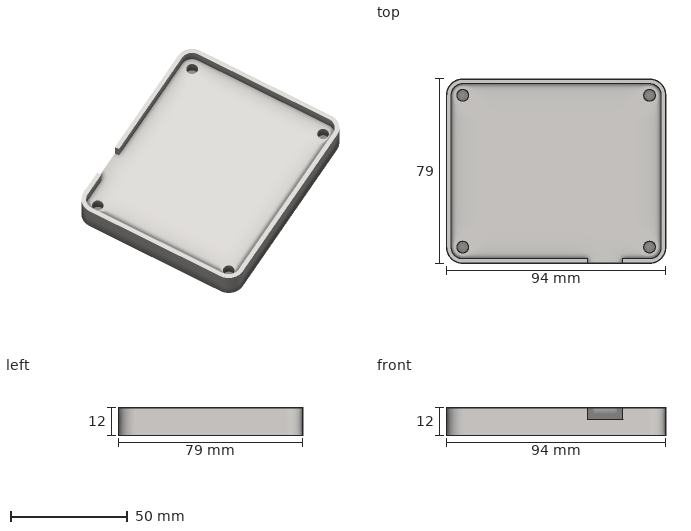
import cadquery as cq

LENGTH = 94.0
WIDTH = 79.0
HEIGHT = 12.0
CORNER_RADIUS = 7.0

WALL = 2.0
RECESS_DEPTH = 5.0
FLOOR_HEIGHT = HEIGHT - RECESS_DEPTH

HOLE_DIAMETER = 5.0
HOLE_DEPTH = 5.0
HOLE_SPACING_X = LENGTH - 2 * CORNER_RADIUS
HOLE_SPACING_Y = WIDTH - 2 * CORNER_RADIUS

NOTCH_WIDTH = 15.0
NOTCH_CENTER_X = 21.0


def rounded_block(length, width, height, radius, base_z):
    """Block with rounded vertical edges, standing on base_z."""
    block = cq.Workplane("XY").workplane(offset=base_z).rect(length, width).extrude(height)
    return block.edges("|Z").fillet(radius)


def make_recess():
    """Volume inside the rim, leaving an even wall all round."""
    return rounded_block(
        LENGTH - 2 * WALL,
        WIDTH - 2 * WALL,
        RECESS_DEPTH,
        CORNER_RADIUS - WALL,
        FLOOR_HEIGHT,
    )


def make_corner_holes():
    """Four holes sunk from the floor, one in each corner."""
    return (
        cq.Workplane("XY")
        .workplane(offset=FLOOR_HEIGHT)
        .rect(HOLE_SPACING_X, HOLE_SPACING_Y, forConstruction=True)
        .vertices()
        .circle(HOLE_DIAMETER / 2)
        .extrude(-HOLE_DEPTH)
    )


def make_wall_notch():
    """Block that opens the front wall from the floor to the rim."""
    wall_center_y = -(WIDTH - WALL) / 2
    return (
        cq.Workplane("XY")
        .workplane(offset=FLOOR_HEIGHT)
        .center(NOTCH_CENTER_X, wall_center_y)
        .rect(NOTCH_WIDTH, WALL)
        .extrude(RECESS_DEPTH)
    )


body = rounded_block(LENGTH, WIDTH, HEIGHT, CORNER_RADIUS, 0)
result = body.cut(make_recess()).cut(make_corner_holes()).cut(make_wall_notch())